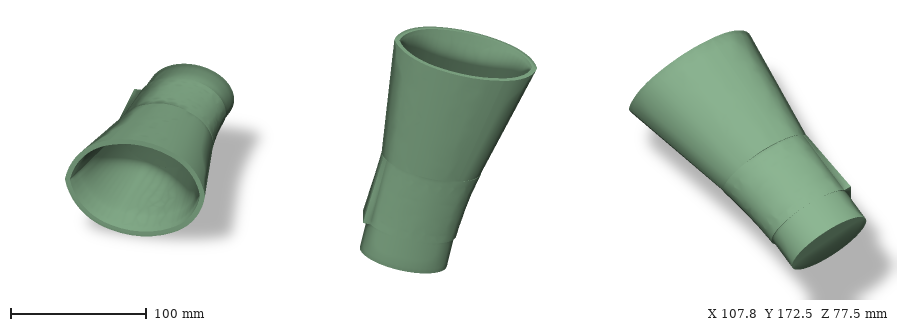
import cadquery as cq

HORN_LENGTH = 93.0
COLLAR_LENGTH = 54.0
HANDLE_LENGTH = 25.49

HANDLE_HALF_WIDTH = 32.9
HANDLE_HALF_HEIGHT = 24.35

HORN_REAR_WALL = 2.9
HORN_RIM_WALL = 3.85

HORN_REAR_POINTS = [(-34.3, 0.0), (-10.7, 24.6), (23.5, 21.9), (40.9, 0.0)]
HORN_REAR_RADII = [31.0, 41.0, 27.5]
HORN_RIM_POINTS = [(-45.4, 0.0), (-11.1, 36.0), (37.7, 32.3), (62.38, 0.0)]
HORN_RIM_RADII = [46.0, 69.8, 41.0]

COLLAR_WALL = 2.0
COLLAR_STATIONS = [COLLAR_LENGTH, COLLAR_LENGTH / 2, 0.0]
COLLAR_LEFT = [-34.0, -33.6, -33.5]
COLLAR_RIGHT = [34.2, 36.6, 40.9]
COLLAR_HALF_HEIGHTS = [24.4, 25.0, 26.15]

PAD_ROOT = -27.0
PAD_SHOULDER = -30.6
PAD_REAR_FACE = -36.2
PAD_HALF_HEIGHT = 10.6
PAD_FRONT_FACE = -34.3
PAD_FRONT_EDGE = -33.0
PAD_FRONT_EDGE_HEIGHT = 7.2


def section_plane(y):
    """Plane across the axis at the given Y, with local x = X and local y = Z."""
    return cq.Workplane(cq.Plane(origin=(0, y, 0), xDir=(1, 0, 0), normal=(0, -1, 0)))


def horn_outline(y, points, radii, wall=0.0):
    """Closed outline of six arcs, symmetric about Z = 0, moved inward by the wall."""
    outline = section_plane(y).moveTo(*points[0])
    for (x, z), radius in zip(points[1:], radii):
        outline = outline.radiusArc((x, z), radius)
    for (x, z), radius in zip(reversed(points[:-1]), reversed(radii)):
        outline = outline.radiusArc((x, -z), radius)
    outline = outline.close()
    if wall:
        outline = outline.offset2D(-wall, "tangent")
    return outline.val()


def horn_loft(rear_wall=0.0, rim_wall=0.0):
    rear = horn_outline(0, HORN_REAR_POINTS, HORN_REAR_RADII, rear_wall)
    rim = horn_outline(-HORN_LENGTH, HORN_RIM_POINTS, HORN_RIM_RADII, rim_wall)
    return cq.Workplane(cq.Solid.makeLoft([rear, rim], True))


def make_horn():
    return horn_loft().cut(horn_loft(HORN_REAR_WALL, HORN_RIM_WALL))


def collar_loft(wall=0.0):
    """Smooth loft through the oval collar sections, moved inward by the wall."""
    sections = []
    for y, left, right, half_height in zip(COLLAR_STATIONS, COLLAR_LEFT, COLLAR_RIGHT, COLLAR_HALF_HEIGHTS):
        center = (left + right) / 2
        half_width = (right - left) / 2
        oval = section_plane(y).center(center, 0).ellipse(half_width - wall, half_height - wall)
        sections.append(oval.val())
    return cq.Workplane(cq.Solid.makeLoft(sections))


def make_pad():
    """Pad with a flat face at the rear, rounded and lower at the front."""
    rear = (
        section_plane(COLLAR_LENGTH)
        .moveTo(PAD_ROOT, -PAD_HALF_HEIGHT)
        .lineTo(PAD_SHOULDER, -PAD_HALF_HEIGHT)
        .lineTo(PAD_REAR_FACE, -PAD_HALF_HEIGHT)
        .lineTo(PAD_REAR_FACE, PAD_HALF_HEIGHT)
        .lineTo(PAD_SHOULDER, PAD_HALF_HEIGHT)
        .lineTo(PAD_ROOT, PAD_HALF_HEIGHT)
        .close()
    )
    front = (
        section_plane(0)
        .moveTo(PAD_ROOT, -PAD_HALF_HEIGHT)
        .lineTo(PAD_SHOULDER, -PAD_HALF_HEIGHT)
        .lineTo(PAD_FRONT_EDGE, -PAD_FRONT_EDGE_HEIGHT)
        .threePointArc((PAD_FRONT_FACE, 0), (PAD_FRONT_EDGE, PAD_FRONT_EDGE_HEIGHT))
        .lineTo(PAD_SHOULDER, PAD_HALF_HEIGHT)
        .lineTo(PAD_ROOT, PAD_HALF_HEIGHT)
        .close()
    )
    return cq.Workplane(cq.Solid.makeLoft([rear.val(), front.val()], True))


def make_collar():
    return collar_loft().union(make_pad()).cut(collar_loft(COLLAR_WALL))


def make_handle():
    rear = section_plane(COLLAR_LENGTH + HANDLE_LENGTH)
    return rear.ellipse(HANDLE_HALF_WIDTH, HANDLE_HALF_HEIGHT).extrude(HANDLE_LENGTH)


horn = make_horn()
collar = make_collar()
handle = make_handle()

result = cq.Compound.makeCompound([horn.val(), collar.val(), handle.val()])